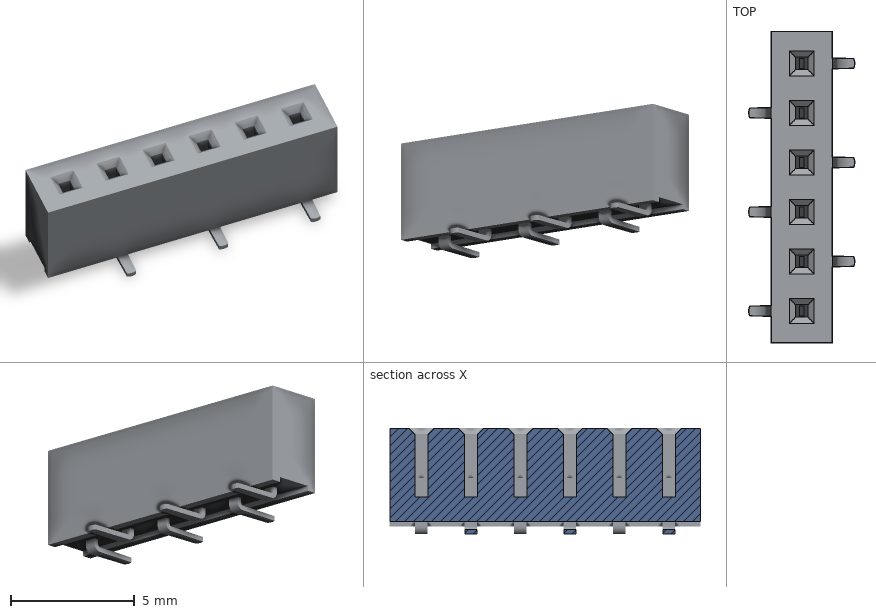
import cadquery as cq

housing_length = 12.6
housing_width = 2.48
housing_top = 4.3
housing_bottom = 0.3
channel_width = 1.65
channel_height = 0.2

contact_count = 6
contact_pitch = 2.0

socket_width = 0.5
funnel_width = 1.01
funnel_depth = 0.25
socket_floor = 1.51

strip_thickness = 0.2
strip_width = 0.49
lead_span = 4.3
lead_reach = lead_span / 2
bend_inner_radius = 0.1
tip_width = 0.4
tip_bulge = 0.05
blade_width = 0.42
blade_height = 0.75


def make_housing():
    """Long block with a channel along the middle of its underside."""
    block = cq.Workplane("XY").workplane(offset=housing_bottom).rect(housing_width, housing_length)
    block = block.extrude(housing_top - housing_bottom)
    channel = cq.Workplane("XY").workplane(offset=housing_bottom).rect(channel_width, housing_length)
    return block.cut(channel.extrude(channel_height))


def make_socket(y):
    """Square hole with a funnel mouth, as a cutting tool."""
    shaft = (
        cq.Workplane("XY", origin=(0, y, socket_floor))
        .rect(socket_width, socket_width)
        .extrude(housing_top - funnel_depth - socket_floor)
    )
    funnel = (
        cq.Workplane("XY", origin=(0, y, housing_top - funnel_depth))
        .rect(socket_width, socket_width)
        .workplane(offset=funnel_depth)
        .rect(funnel_width, funnel_width)
        .loft(ruled=True)
    )
    return shaft.union(funnel)


def make_contact(y, side):
    """Bent strip below the housing and a blade in the socket; side is +1 or -1 along X."""
    half_thickness = strip_thickness / 2
    bend_outer_radius = bend_inner_radius + strip_thickness
    bend_end = half_thickness + bend_inner_radius

    stalk = (
        cq.Workplane("XZ", origin=(0, y + strip_width / 2, 0))
        .moveTo(-side * half_thickness, socket_floor)
        .lineTo(-side * half_thickness, bend_outer_radius)
        .radiusArc((side * bend_end, 0), -side * bend_outer_radius)
        .lineTo(side * bend_end, strip_thickness)
        .radiusArc((side * half_thickness, bend_outer_radius), side * bend_inner_radius)
        .lineTo(side * half_thickness, socket_floor)
        .close()
        .extrude(strip_width)
    )

    tip_start = lead_reach - tip_bulge
    lead = (
        cq.Workplane("XY", origin=(0, y, 0))
        .moveTo(side * bend_end, -strip_width / 2)
        .lineTo(side * tip_start, -tip_width / 2)
        .threePointArc((side * lead_reach, 0), (side * tip_start, tip_width / 2))
        .lineTo(side * bend_end, strip_width / 2)
        .close()
        .extrude(strip_thickness)
    )

    blade = (
        cq.Workplane("XY", origin=(0, y, socket_floor))
        .rect(strip_thickness, blade_width)
        .extrude(blade_height)
    )
    return stalk.union(lead).union(blade)


result = make_housing()
for index in range(contact_count):
    contact_y = (index - (contact_count - 1) / 2) * contact_pitch
    lead_side = -1 if index % 2 == 0 else 1
    result = result.cut(make_socket(contact_y)).union(make_contact(contact_y, lead_side))